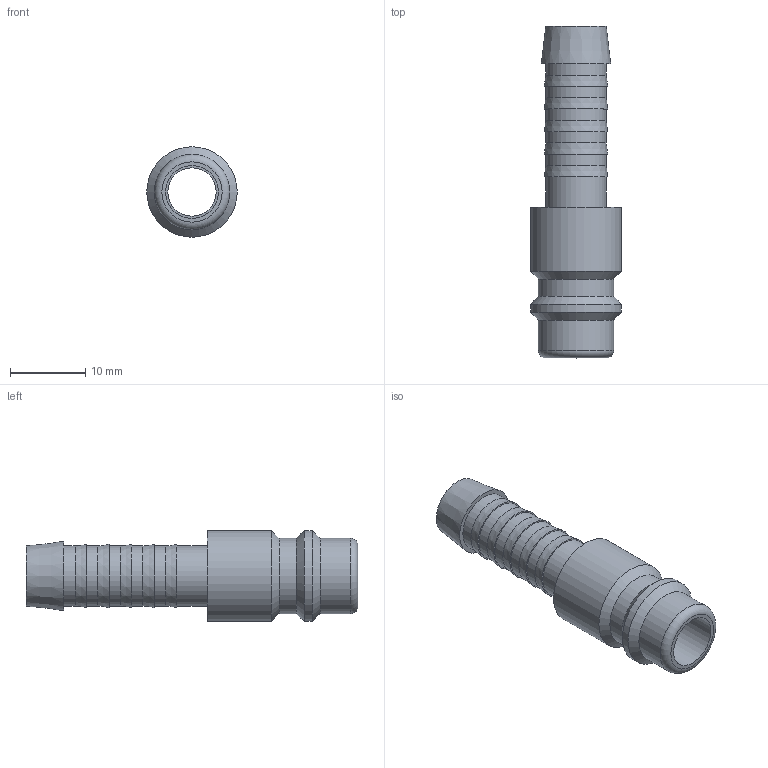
import cadquery as cq

total_length = 44.0
body_length = 20.0
plug_face_y = -total_length / 2
hose_tip_y = total_length / 2
shoulder_y = plug_face_y + body_length

body_radius = 6.0
nose_radius = 5.0
nose_length = 5.0
nose_rounding = 1.0
collar_width = 1.05
groove_width = 2.3
cone_length = 1.05

stem_radius = 4.0
barb_radius = 4.2
barb_length = 1.5
barb_pitch = 3.0
barb_count = 5
barb_to_shoulder = 4.0
head_radius = 4.6
head_length = 5.0

plug_bore_radius = 3.5
stem_bore_radius = 3.2


def make_plug():
    """Nose, locking collar, groove and main body, turned about Y."""
    collar_start = plug_face_y + nose_length + cone_length
    collar_end = collar_start + collar_width
    groove_start = collar_end + cone_length
    groove_end = groove_start + groove_width
    profile = (
        cq.Workplane("XY")
        .moveTo(0, plug_face_y)
        .lineTo(nose_radius - nose_rounding, plug_face_y)
        .radiusArc((nose_radius, plug_face_y + nose_rounding), -nose_rounding)
        .lineTo(nose_radius, plug_face_y + nose_length)
        .lineTo(body_radius, collar_start)
        .lineTo(body_radius, collar_end)
        .lineTo(nose_radius, groove_start)
        .lineTo(nose_radius, groove_end)
        .lineTo(body_radius, groove_end + cone_length)
        .lineTo(body_radius, shoulder_y)
        .lineTo(0, shoulder_y)
        .close()
    )
    return profile.revolve(360, (0, 0), (0, 1))


def make_stem():
    """Hose stem with a row of low barbs and a larger tapered head."""
    profile = cq.Workplane("XY").moveTo(0, shoulder_y).lineTo(stem_radius, shoulder_y)
    for index in range(barb_count):
        step_y = shoulder_y + barb_to_shoulder + index * barb_pitch
        profile = (
            profile.lineTo(stem_radius, step_y)
            .lineTo(barb_radius, step_y)
            .lineTo(stem_radius, step_y + barb_length)
        )
    profile = (
        profile.lineTo(stem_radius, hose_tip_y - head_length)
        .lineTo(head_radius, hose_tip_y - head_length)
        .lineTo(stem_radius, hose_tip_y)
        .lineTo(0, hose_tip_y)
        .close()
    )
    return profile.revolve(360, (0, 0), (0, 1))


def make_bore():
    """Through bore: wide in the plug body, narrower in the hose stem."""
    profile = (
        cq.Workplane("XY")
        .moveTo(0, plug_face_y)
        .lineTo(plug_bore_radius, plug_face_y)
        .lineTo(plug_bore_radius, shoulder_y)
        .lineTo(stem_bore_radius, shoulder_y)
        .lineTo(stem_bore_radius, hose_tip_y)
        .lineTo(0, hose_tip_y)
        .close()
    )
    return profile.revolve(360, (0, 0), (0, 1))


result = make_plug().union(make_stem()).cut(make_bore())